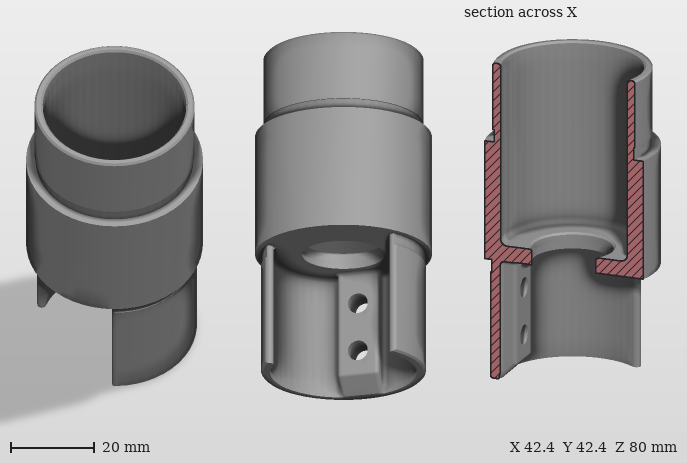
import cadquery as cq
import math

total_height = 80.0
collar_bottom = 30.0
collar_top = 60.0
neck_height = 3.0
web_thickness = 4.0
web_top = collar_bottom + web_thickness

collar_radius = 21.2
spigot_radius = 19.2
spigot_bore_radius = 17.2
shell_radius = 19.8
shell_bore_radius = 17.6
neck_depth = 0.28
cable_hole_radius = 9.9

edge_chamfer = 0.5
floor_fillet = 1.5
cast_fillet = 1.0

margin = 0.1

shell_front = -11.4
tip_radius = (shell_radius - shell_bore_radius) / 2
tip_y = shell_front + tip_radius
tip_x = math.sqrt((shell_bore_radius + tip_radius) ** 2 - tip_y**2)

pad_half_width = 5.1
pad_face = 12.5
pad_foot = 16.4
pad_root = math.sqrt(shell_bore_radius**2 - pad_half_width**2)
screw_hole_diameter = 5.0
screw_hole_heights = (10.0, 22.0)


def disc(radius, bottom, top):
    """Solid cylinder on the Z axis between two heights."""
    return cq.Workplane("XY").workplane(offset=bottom).circle(radius).extrude(top - bottom)


def make_upper_body():
    """Collar with a shallow neck and the spigot above it, before boring."""
    neck_top = collar_top + neck_height
    collar = disc(collar_radius, collar_bottom, collar_top)
    neck = disc(spigot_radius - neck_depth, collar_top, neck_top)
    spigot = disc(spigot_radius, neck_top, total_height).faces(">Z").chamfer(edge_chamfer)
    return collar.union(neck).union(spigot)


def make_flare(radius, top):
    """45 degree countersink cone that widens a hole of the given radius at its mouth."""
    mouth = cq.Workplane("XY").workplane(offset=top).circle(radius + edge_chamfer)
    return mouth.workplane(offset=-edge_chamfer).circle(radius).loft()


def make_bore():
    """Blind bore from the top, rounded at its floor and flared at its rim."""
    bore = disc(spigot_bore_radius, web_top, total_height).faces("<Z").edges().fillet(floor_fillet)
    return bore.union(make_flare(spigot_bore_radius, total_height))


def make_cable_hole():
    """Hole through the web, flared on its upper side."""
    hole = disc(cable_hole_radius, collar_bottom, web_top)
    return hole.union(make_flare(cable_hole_radius, web_top))


def make_shell_envelope():
    """Solid outline of the lower half: a chamfered sleeve under a shallow neck."""
    neck_bottom = collar_bottom - neck_height
    sleeve = disc(shell_radius, 0, neck_bottom).faces("<Z").chamfer(edge_chamfer)
    return sleeve.union(disc(shell_radius - neck_depth, neck_bottom, collar_bottom))


def make_opening():
    """Wedge cleared at the front, bounded by radial planes through the tip centres."""
    reach_x = 2 * tip_x
    reach_y = 2 * tip_y
    corners = [(0, 0), (reach_x, reach_y), (-reach_x, reach_y)]
    return cq.Workplane("XY").polyline(corners).close().extrude(collar_bottom)


def make_shell():
    """Shell wall, open to the front."""
    hollow = disc(shell_bore_radius, 0, collar_bottom)
    return make_shell_envelope().cut(hollow).cut(make_opening())


def make_tips():
    """Half-round bars that finish the two front ends of the shell wall."""
    centres = [(-tip_x, tip_y), (tip_x, tip_y)]
    tips = cq.Workplane("XY").pushPoints(centres).circle(tip_radius).extrude(collar_bottom)
    return tips.intersect(make_opening()).intersect(make_shell_envelope())


def make_pad():
    """Screw pad with rounded front edges, reaching into the middle of the shell wall."""
    lead_in_top = pad_foot - pad_face
    pad_back = (shell_radius + shell_bore_radius) / 2
    pad = (
        cq.Workplane("YZ").workplane(offset=-pad_half_width)
        .moveTo(pad_back, 0).lineTo(pad_foot, 0).lineTo(pad_face, lead_in_top)
        .lineTo(pad_face, collar_bottom).lineTo(pad_back, collar_bottom).close()
        .extrude(2 * pad_half_width)
    )
    front_edges = cq.selectors.BoxSelector(
        (-pad_half_width - margin, pad_face - margin, margin),
        (pad_half_width + margin, pad_foot - margin, collar_bottom - margin),
    )
    return pad.edges(front_edges).fillet(cast_fillet)


def add_pad(shell):
    """Join the pad to the shell and round the corner where it meets the inner wall."""
    root_edges = cq.selectors.BoxSelector(
        (-pad_half_width - margin, pad_root - margin, margin),
        (pad_half_width + margin, shell_bore_radius, collar_bottom - margin),
    )
    return shell.union(make_pad()).edges(root_edges).fillet(cast_fillet)


def round_ceiling(body):
    """Round the corner under the web; from the pad it runs on along the shell wall."""
    ceiling_edges = cq.selectors.BoxSelector(
        (-pad_half_width - margin, pad_face - margin, collar_bottom - margin),
        (pad_half_width + margin, shell_bore_radius, collar_bottom + margin),
    )
    return body.edges(ceiling_edges).fillet(cast_fillet)


def make_screw_holes():
    """Cross holes through the pad and the back wall."""
    points = [(0, height) for height in screw_hole_heights]
    holes = cq.Workplane("XZ").pushPoints(points).circle(screw_hole_diameter / 2)
    return holes.extrude(-collar_radius)


shell = add_pad(make_shell())
body = make_upper_body().cut(make_bore()).cut(make_cable_hole()).union(shell)
result = round_ceiling(body).union(make_tips()).cut(make_screw_holes())